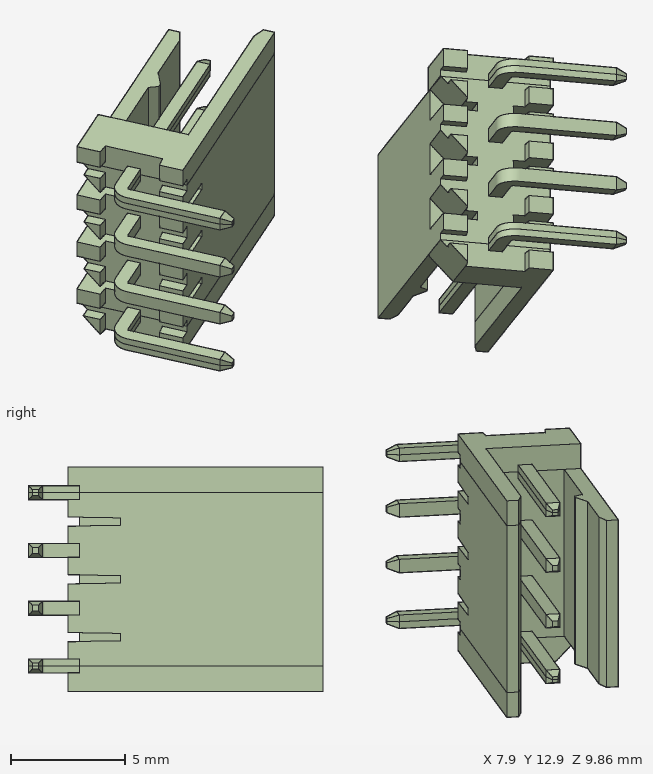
import cadquery as cq
import math

PIN_COUNT = 4
PITCH = 2.53
PIN_WIDTH = 0.62
PIN_TIP_WIDTH = 0.26
PIN_TIP_LENGTH = 0.5
PIN_BEND_RADIUS = 0.83
PIN_BEND_INNER_RADIUS = 0.1
PIN_FRONT_END = 6.87
PIN_TAIL_FACE = -4.34
PIN_TAIL_END = 5.4

HEIGHT = 9.86
WIDTH = 4.99
WALL = 0.75
WALL_END = 8.58
LEG_FACE = -2.61
CHANNEL_FLOOR = -2.1
LEG_WIDTH = 1.1
LEG_ROOT_WIDTH = 1.16
LEG_GAP = 0.6
LEAD_IN_WIDTH = 0.22
LEAD_IN_LENGTH = 0.61

RIDGE_HEIGHT = 0.4
RIDGE_FRONT = 5.37
RIDGE_CREST_FRONT = 4.6
RIDGE_CREST_REAR = 4.4
RIDGE_REAR = 4.17

SLOT_HEIGHT = 0.4
SLOT_FLOOR_HEIGHT = 0.32
SLOT_LENGTH = 1.68
SLOT_FLOOR = -0.31

MARGIN = 0.13
SECTION_SPAN = 19.38

SIDE = WIDTH / 2
TOP = HEIGHT / 2
TOP_PIN_LEVEL = (PIN_COUNT - 1) * PITCH / 2
PIN_LEVELS = [TOP_PIN_LEVEL - i * PITCH for i in range(PIN_COUNT)]
SLOT_LEVELS = [z - PITCH / 2 for z in PIN_LEVELS[:-1]]
CORNER_CHAMFER = TOP - TOP_PIN_LEVEL


def prism(points, z_low, z_high):
    """Extrude a closed XY outline between two heights."""
    outline = cq.Workplane("XY").workplane(offset=z_low).polyline(points).close()
    return outline.extrude(z_high - z_low)


def base_and_right_wall(z_low, z_high):
    """Floor block with its two rear legs, and the plain right-hand wall."""
    inner = SIDE - WALL
    return prism(
        [
            (-SIDE, 0),
            (-SIDE, LEG_FACE),
            (-SIDE + LEG_WIDTH, LEG_FACE),
            (-SIDE + LEG_ROOT_WIDTH, CHANNEL_FLOOR),
            (SIDE - LEG_ROOT_WIDTH, CHANNEL_FLOOR),
            (SIDE - LEG_WIDTH, LEG_FACE),
            (SIDE, LEG_FACE),
            (SIDE, WALL_END),
            (inner + LEAD_IN_WIDTH, WALL_END),
            (inner, WALL_END - LEAD_IN_LENGTH),
            (inner, 0),
        ],
        z_low,
        z_high,
    )


def latch_wall(z_low, z_high):
    """Left-hand wall with the latch ridge on its inner face."""
    inner = -SIDE + WALL
    return prism(
        [
            (-SIDE, 0),
            (inner, 0),
            (inner, RIDGE_REAR),
            (inner + RIDGE_HEIGHT, RIDGE_CREST_REAR),
            (inner + RIDGE_HEIGHT, RIDGE_CREST_FRONT),
            (inner, RIDGE_FRONT),
            (inner, WALL_END - LEAD_IN_LENGTH),
            (inner - LEAD_IN_WIDTH, WALL_END),
            (-SIDE, WALL_END),
        ],
        z_low,
        z_high,
    )


def leg_gap(z):
    """Cutter that opens both legs down to the channel floor at a pin."""
    depth = CHANNEL_FLOOR - LEG_FACE
    y_middle = (CHANNEL_FLOOR + LEG_FACE) / 2
    return cq.Workplane("XY").box(WIDTH, depth, LEG_GAP).translate((0, y_middle, z))


def pin_tip(plane):
    """Tapered pin end that grows along the normal of the given plane."""
    base = cq.Workplane(plane).rect(PIN_WIDTH, PIN_WIDTH)
    return base.workplane(offset=PIN_TIP_LENGTH).rect(PIN_TIP_WIDTH, PIN_TIP_WIDTH).loft(ruled=True)


def pin(z):
    """Square right-angle pin with its centre plane at height z."""
    half = PIN_WIDTH / 2
    front = PIN_FRONT_END - PIN_TIP_LENGTH
    tail = PIN_TAIL_END - PIN_TIP_LENGTH
    tail_front = PIN_TAIL_FACE + PIN_WIDTH
    bend_rise = PIN_BEND_RADIUS * (1 - math.sqrt(0.5))
    inner_rise = PIN_BEND_INNER_RADIUS * (1 - math.sqrt(0.5))
    shank = (
        cq.Workplane("XY")
        .workplane(offset=z - half)
        .moveTo(-half, front)
        .lineTo(-half, PIN_TAIL_FACE + PIN_BEND_RADIUS)
        .threePointArc(
            (-half + bend_rise, PIN_TAIL_FACE + bend_rise),
            (-half + PIN_BEND_RADIUS, PIN_TAIL_FACE),
        )
        .lineTo(tail, PIN_TAIL_FACE)
        .lineTo(tail, tail_front)
        .lineTo(half + PIN_BEND_INNER_RADIUS, tail_front)
        .threePointArc(
            (half + inner_rise, tail_front + inner_rise),
            (half, tail_front + PIN_BEND_INNER_RADIUS),
        )
        .lineTo(half, front)
        .close()
        .extrude(PIN_WIDTH)
    )
    front_tip = pin_tip(cq.Plane((0, front, z), xDir=(1, 0, 0), normal=(0, 1, 0)))
    tail_tip = pin_tip(cq.Plane((tail, PIN_TAIL_FACE + half, z), xDir=(0, 1, 0), normal=(1, 0, 0)))
    return shank.union(front_tip).union(tail_tip)


def add_pins(housing, z_low, z_high):
    """Open the leg gaps and add the moulded-in pins, cut off at the section's end planes."""
    section = (
        cq.Workplane("XY")
        .workplane(offset=z_low)
        .rect(SECTION_SPAN, SECTION_SPAN)
        .extrude(z_high - z_low)
    )
    for z in PIN_LEVELS:
        if z_low <= z <= z_high:
            housing = housing.cut(leg_gap(z))
            housing = housing.union(pin(z).intersect(section))
    return housing


def rear_cut(face_points, floor_points):
    """Drafted cutter between an XZ outline at the leg face and one at the slot floor."""
    depth = SLOT_FLOOR - LEG_FACE
    face = cq.Workplane("XZ", origin=(0, LEG_FACE, 0)).polyline(face_points).close()
    floor = face.workplane(offset=-depth).polyline(floor_points).close()
    return floor.loft(ruled=True)


def left_slot_outline(z, height):
    """Slot outline with a 45 degree face that rises towards the pin above."""
    low = z - height / 2
    high = z + height / 2
    end = -SIDE + SLOT_LENGTH
    rise = (PITCH - SLOT_FLOOR_HEIGHT) / 2
    return [
        (-SIDE - MARGIN, low),
        (end, low),
        (end, high),
        (-SIDE + rise, high),
        (-SIDE - MARGIN, high + rise + MARGIN),
    ]


def right_slot_outline(z, height):
    low = z - height / 2
    high = z + height / 2
    start = SIDE - SLOT_LENGTH
    end = SIDE + MARGIN
    return [(start, low), (end, low), (end, high), (start, high)]


def rear_slots(z):
    """Cutters for the left and right slots at height z."""
    left = rear_cut(left_slot_outline(z, SLOT_HEIGHT), left_slot_outline(z, SLOT_FLOOR_HEIGHT))
    right = rear_cut(right_slot_outline(z, SLOT_HEIGHT), right_slot_outline(z, SLOT_FLOOR_HEIGHT))
    return left.union(right)


def upper_end():
    """Upper end section: base, right wall and the upper half of the top pin.

    The drafted face of the uppermost left slot just nicks its lower edge.
    """
    body = base_and_right_wall(TOP_PIN_LEVEL, TOP).cut(rear_slots(SLOT_LEVELS[0]))
    return add_pins(body, TOP_PIN_LEVEL, TOP)


def middle():
    """Middle section from the top pin's centre plane to the bottom pin's."""
    body = base_and_right_wall(-TOP_PIN_LEVEL, TOP_PIN_LEVEL).union(latch_wall(-TOP_PIN_LEVEL, TOP_PIN_LEVEL))
    for z in SLOT_LEVELS:
        body = body.cut(rear_slots(z))
    return add_pins(body, -TOP_PIN_LEVEL, TOP_PIN_LEVEL)


def lower_end():
    """Lower end section: like the upper one, with its lower left corner cut off."""
    corner = (
        cq.Workplane("XZ")
        .polyline([(-SIDE, -TOP_PIN_LEVEL), (-SIDE + CORNER_CHAMFER, -TOP), (-SIDE, -TOP)])
        .close()
        .extrude(-LEG_FACE)
    )
    body = base_and_right_wall(-TOP, -TOP_PIN_LEVEL).cut(corner)
    return add_pins(body, -TOP, -TOP_PIN_LEVEL)


result = cq.Compound.makeCompound([upper_end().val(), middle().val(), lower_end().val()])